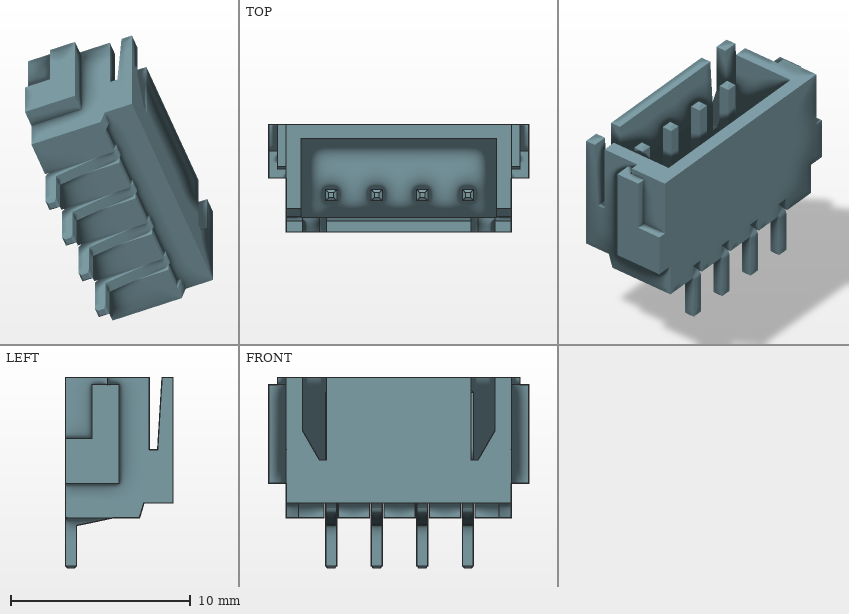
import cadquery as cq
import math


OVERALL_LENGTH = 14.5
OVERALL_DEPTH = 6.0
OVERALL_HEIGHT = 10.61

BODY_LENGTH = 12.53
BODY_HEIGHT = 7.82
FRONT_STEP_HEIGHT = 0.83
FOOT_DEPTH = 4.13
FOOT_TOP_DEPTH = 4.38
FOOT_END_LENGTH = 0.7

CAVITY_LENGTH = 10.88
BACK_WALL = 0.78
CAVITY_FRONT = 5.19
CAVITY_FLOOR_Z = 2.84

SLIT_BACK = 4.68
SLIT_FLOOR_FRONT = 5.13
SLIT_TOP_FRONT = 5.38
SLIT_HEIGHT = 4.02

WINDOW_INNER_X = 4.03
WINDOW_OUTER_X = 5.36
WINDOW_FLOOR_OUTER_X = 4.42
WINDOW_HEIGHT = 4.58
WINDOW_STRAIGHT_HEIGHT = 2.95

SHEET = 0.5
CLIP_DEPTH = 2.99
CLIP_BOTTOM_Z = 1.91
CLIP_TOP_Z = 7.42
CLIP_SHOULDER_Z = 4.42
CLIP_ARM_BACK = 1.5
WING_DEPTH = 2.35

PIN_COUNT = 4
PIN_PITCH = 2.54
PIN_ROW_OFFSET = 0.05
PIN_SIZE = 0.62
PIN_TOP_Z = 7.15
PIN_POST_FRONT = 4.25
PIN_ELBOW_Z = -0.44
ARM_ANGLE = 12.0
BEND_RADIUS = PIN_SIZE / 2
LEG_TIP_CHAMFER = 0.13
POST_TIP_CHAMFER = 0.17
CHANNEL_WIDTH = 0.78

PIN_BOTTOM_Z = BODY_HEIGHT - OVERALL_HEIGHT
PIN_POSITIONS = [PIN_ROW_OFFSET + (i - (PIN_COUNT - 1) / 2) * PIN_PITCH for i in range(PIN_COUNT)]


def box(x_range, depth_range, z_range):
    """Block between two X values, two depths in front of the back face and two heights."""
    x0, x1 = x_range
    d0, d1 = depth_range
    z0, z1 = z_range
    return cq.Workplane("XY").box(x1 - x0, d1 - d0, z1 - z0, centered=False).translate((x0, -d1, z0))


def side_prism(points, length, x_center=0.0):
    """Extrude an outline of (depth, z) points along X, centred on x_center."""
    outline = [(-depth, z) for depth, z in points]
    return (
        cq.Workplane("YZ", origin=(x_center - length / 2, 0, 0))
        .polyline(outline)
        .close()
        .extrude(length)
    )


def make_body():
    """Outer block with a foot that is vertical in the middle and sloped at both ends."""
    half = BODY_LENGTH / 2
    body = box((-half, half), (0, OVERALL_DEPTH), (FRONT_STEP_HEIGHT, BODY_HEIGHT))
    body = body.union(box((-half, half), (0, FOOT_DEPTH), (0, FRONT_STEP_HEIGHT)))
    end_slope = [(FOOT_DEPTH, 0), (FOOT_TOP_DEPTH, FRONT_STEP_HEIGHT), (FOOT_DEPTH, FRONT_STEP_HEIGHT)]
    for side in (-1, 1):
        end_center = side * (BODY_LENGTH - FOOT_END_LENGTH) / 2
        body = body.union(side_prism(end_slope, FOOT_END_LENGTH, end_center))
    return body


def make_cavity():
    half = CAVITY_LENGTH / 2
    return box((-half, half), (BACK_WALL, CAVITY_FRONT), (CAVITY_FLOOR_Z, BODY_HEIGHT))


def make_slit():
    floor_z = BODY_HEIGHT - SLIT_HEIGHT
    outline = [
        (SLIT_BACK, floor_z),
        (SLIT_FLOOR_FRONT, floor_z),
        (SLIT_TOP_FRONT, BODY_HEIGHT),
        (SLIT_BACK, BODY_HEIGHT),
    ]
    return side_prism(outline, BODY_LENGTH)


def make_window():
    """Right-hand window, cut from the front into the cavity."""
    floor_z = BODY_HEIGHT - WINDOW_HEIGHT
    return (
        cq.Workplane("XZ", origin=(0, -CAVITY_FRONT, 0))
        .moveTo(WINDOW_INNER_X, BODY_HEIGHT)
        .lineTo(WINDOW_INNER_X, floor_z)
        .lineTo(WINDOW_FLOOR_OUTER_X, floor_z)
        .lineTo(WINDOW_OUTER_X, BODY_HEIGHT - WINDOW_STRAIGHT_HEIGHT)
        .lineTo(WINDOW_OUTER_X, BODY_HEIGHT)
        .close()
        .extrude(OVERALL_DEPTH - CAVITY_FRONT)
    )


def make_channel(x_center):
    """Groove through the foot in which the sloping arm of a pin lies."""
    half = CHANNEL_WIDTH / 2
    return box((x_center - half, x_center + half), (0, FOOT_TOP_DEPTH), (0, FRONT_STEP_HEIGHT))


def make_pin(x_center):
    """Square pin: upright post, arm sloping down to the back, and vertical leg."""
    slope = math.tan(math.radians(ARM_ANGLE))
    arm_rise = PIN_SIZE / math.cos(math.radians(ARM_ANGLE))
    post_back = PIN_POST_FRONT - PIN_SIZE

    def arm_underside(depth):
        return PIN_ELBOW_Z + slope * (depth - PIN_SIZE)

    arm_top_at_back = arm_underside(0) + arm_rise
    arm_bottom_at_front = arm_underside(PIN_POST_FRONT)
    outline = [
        (0, PIN_BOTTOM_Z),
        (PIN_SIZE, PIN_BOTTOM_Z),
        (PIN_SIZE, PIN_ELBOW_Z),
        (PIN_POST_FRONT, arm_bottom_at_front),
        (PIN_POST_FRONT, PIN_TOP_Z),
        (post_back, PIN_TOP_Z),
        (post_back, arm_underside(post_back) + arm_rise),
        (0, arm_top_at_back),
    ]
    pin = side_prism(outline, PIN_SIZE, x_center)
    leg_bend = cq.selectors.NearestToPointSelector((x_center, 0, arm_top_at_back))
    post_bend = cq.selectors.NearestToPointSelector((x_center, -PIN_POST_FRONT, arm_bottom_at_front))
    pin = pin.edges(leg_bend).fillet(BEND_RADIUS)
    pin = pin.edges(post_bend).fillet(BEND_RADIUS)
    pin = pin.faces("<Z").chamfer(LEG_TIP_CHAMFER)
    return pin.faces(">Z").chamfer(POST_TIP_CHAMFER)


def make_clip():
    """Right-hand clip: a wing against the housing end, wrapped by an outer plate and a front flange."""
    x_inner = BODY_LENGTH / 2
    x_outer = OVERALL_LENGTH / 2
    x_plate = x_outer - SHEET
    flange_back = CLIP_DEPTH - SHEET
    lower = box((x_inner, x_outer), (0, CLIP_DEPTH), (CLIP_BOTTOM_Z, CLIP_SHOULDER_Z))
    arm = box((x_inner, x_outer), (CLIP_ARM_BACK, CLIP_DEPTH), (CLIP_SHOULDER_Z, CLIP_TOP_Z))
    wing = box((x_inner, x_plate), (0, WING_DEPTH), (CLIP_BOTTOM_Z, BODY_HEIGHT))
    gap = box((x_inner, x_plate), (WING_DEPTH, flange_back), (CLIP_BOTTOM_Z + SHEET, CLIP_TOP_Z))
    return lower.union(arm).union(wing).cut(gap)


def make_housing(pins):
    window = make_window()
    housing = make_body()
    housing = housing.cut(make_cavity()).cut(make_slit())
    housing = housing.cut(window).cut(window.mirror("YZ"))
    for x_center in PIN_POSITIONS:
        housing = housing.cut(make_channel(x_center))
    for pin in pins:
        housing = housing.cut(pin)
    return housing


pins = [make_pin(x_center) for x_center in PIN_POSITIONS]
housing = make_housing(pins)
right_clip = make_clip()
clips = [right_clip, right_clip.mirror("YZ")]

result = cq.Compound.makeCompound(
    [body.solids().val() for body in [housing, *pins, *clips]]
)